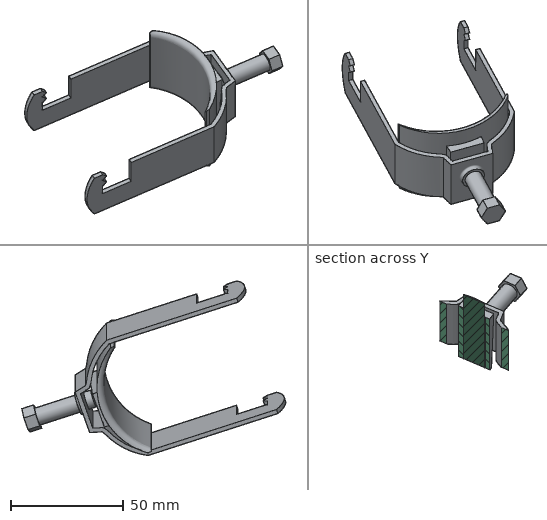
import cadquery as cq
import math


strap_width = 57.0
strap_thickness = 2.0
strap_height = 25.0
strap_bottom_z = -15.0
strap_top_z = strap_bottom_z + strap_height
strap_back_y = 85.9
flat_half_width = 10.0
shoulder_foot_x = 11.5
shoulder_foot_y = 80.5
crown_radius = 31.9
crown_center_y = 50.4
crown_inner_x = 12.7

collar_diameter = 10.5
collar_height = 2.0
collar_fillet = 0.7

notch_start_y = 22.5
notch_end_y = 8.0
notch_depth = 13.2
tooth_height = 2.0
tooth_pitch = 2 * tooth_height
tooth_count = 2
tip_corner_y = 3.7

bolt_diameter = 8.0
bolt_end_y = 80.6
head_top_y = 112.4
head_thickness = 5.5
head_across_flats = 10.0
head_across_corners = head_across_flats / math.cos(math.radians(30))

saddle_height = 40.0
saddle_bottom_z = -19.7
saddle_top_z = saddle_bottom_z + saddle_height
saddle_width = 51.8
saddle_outer_radius = 31.8
saddle_back_y = 77.2
saddle_inner_radius = 32.0
saddle_inner_crest_y = 74.0
saddle_tip_y = 62.2
saddle_edge_round = 2.9

block_height = 31.8
block_back_half_width = 8.0
block_front_half_width = 8.3
block_front_y = 75.3
block_top_y = 80.4
block_bottom_y = 78.4


def circle_y(center_y, radius, x):
    """Y on the +Y half of a circle centred on X = 0."""
    return center_y + math.sqrt(radius**2 - x**2)


def y_cylinder(diameter, start_y, length):
    """Cylinder on the bolt axis, growing toward +Y."""
    return cq.Workplane("XZ", origin=(0, start_y, 0)).circle(diameter / 2).extrude(-length)


def make_strap_band():
    """Bent strip of constant thickness, before the hooks are cut."""
    half_width = strap_width / 2
    mid_x = (crown_inner_x + half_width) / 2
    crown = [
        (x, circle_y(crown_center_y, crown_radius, x))
        for x in (crown_inner_x, mid_x, half_width)
    ]
    start, middle, end = crown
    outline = (
        cq.Workplane("XY", origin=(0, 0, strap_bottom_z))
        .moveTo(-half_width, -strap_thickness)
        .lineTo(-end[0], end[1])
        .threePointArc((-middle[0], middle[1]), (-start[0], start[1]))
        .lineTo(-shoulder_foot_x, shoulder_foot_y)
        .lineTo(-flat_half_width, strap_back_y)
        .lineTo(flat_half_width, strap_back_y)
        .lineTo(shoulder_foot_x, shoulder_foot_y)
        .lineTo(*start)
        .threePointArc(middle, end)
        .lineTo(half_width, -strap_thickness)
        .close()
    )
    outside = outline.extrude(strap_height)
    inside = outline.toPending().offset2D(-strap_thickness).extrude(strap_height)
    return outside.cut(inside)


def make_side_profile():
    """Side shape of the strap: rounded tips and the toothed notch, as a slab across X."""
    profile = (
        cq.Workplane("YZ", origin=(-strap_width / 2, 0, 0))
        .moveTo(tip_corner_y, strap_bottom_z)
        .threePointArc((0, (strap_bottom_z + strap_top_z) / 2), (tip_corner_y, strap_top_z))
        .lineTo(notch_end_y, strap_top_z)
    )
    for tooth in range(tooth_count):
        tooth_top_z = strap_top_z - tooth * tooth_pitch
        profile = profile.lineTo(notch_end_y + tooth_height, tooth_top_z - tooth_pitch / 2)
        profile = profile.lineTo(notch_end_y, tooth_top_z - tooth_pitch)
    return (
        profile.lineTo(notch_end_y, strap_top_z - notch_depth)
        .lineTo(notch_start_y, strap_top_z - notch_depth)
        .lineTo(notch_start_y, strap_top_z)
        .lineTo(strap_back_y, strap_top_z)
        .lineTo(strap_back_y, strap_bottom_z)
        .close()
        .extrude(strap_width)
    )


def make_collar():
    """Collar round the bolt, flaring into the strap with a concave fillet."""
    radius = collar_diameter / 2
    fillet_dip = collar_fillet * (1 - math.sqrt(0.5))
    return (
        cq.Workplane("XY")
        .moveTo(0, strap_back_y)
        .lineTo(radius + collar_fillet, strap_back_y)
        .threePointArc(
            (radius + fillet_dip, strap_back_y + fillet_dip),
            (radius, strap_back_y + collar_fillet),
        )
        .lineTo(radius, strap_back_y + collar_height)
        .lineTo(0, strap_back_y + collar_height)
        .close()
        .revolve(360, (0, 0, 0), (0, 1, 0))
    )


def make_strap():
    hole_start_y = strap_back_y - strap_thickness
    hole = y_cylinder(bolt_diameter, hole_start_y, strap_thickness + collar_height)
    return make_strap_band().intersect(make_side_profile()).union(make_collar()).cut(hole)


def make_bolt():
    head_start_y = head_top_y - head_thickness
    shank = y_cylinder(bolt_diameter, bolt_end_y, head_start_y - bolt_end_y)
    head = (
        cq.Workplane("XZ", origin=(0, head_start_y, 0))
        .polygon(6, head_across_corners)
        .extrude(-head_thickness)
    )
    return shank.union(head)


def saddle_outer_cylinder():
    """Cylinder along Z that carries the saddle's outer face."""
    return (
        cq.Workplane("XY", origin=(0, saddle_back_y - saddle_outer_radius, saddle_bottom_z))
        .circle(saddle_outer_radius)
        .extrude(saddle_height)
    )


def make_saddle_bore():
    """Inner cylinder that flares out at both ends, which rounds the saddle's inner edges."""
    flare_radius = saddle_inner_radius + saddle_edge_round
    arc_inset = saddle_edge_round * (1 - math.sqrt(0.5))
    arc_mid_radius = saddle_inner_radius + arc_inset
    return (
        cq.Workplane("XZ")
        .moveTo(0, saddle_bottom_z)
        .lineTo(flare_radius, saddle_bottom_z)
        .threePointArc(
            (arc_mid_radius, saddle_bottom_z + arc_inset),
            (saddle_inner_radius, saddle_bottom_z + saddle_edge_round),
        )
        .lineTo(saddle_inner_radius, saddle_top_z - saddle_edge_round)
        .threePointArc((arc_mid_radius, saddle_top_z - arc_inset), (flare_radius, saddle_top_z))
        .lineTo(0, saddle_top_z)
        .close()
        .revolve(360, (0, 0, 0), (0, 1, 0))
        .translate((0, saddle_inner_crest_y - saddle_inner_radius, 0))
    )


def make_saddle():
    limits = cq.Workplane("XY", origin=(0, saddle_tip_y, saddle_bottom_z)).box(
        saddle_width,
        saddle_back_y - saddle_tip_y,
        saddle_height,
        centered=(True, False, False),
    )
    outside = saddle_outer_cylinder()
    return outside.intersect(limits).cut(make_saddle_bore())


def make_block():
    """Wedge between bolt and saddle: drafted sides, sloping back, front fitted to the saddle."""
    plan = (
        cq.Workplane("XY", origin=(0, 0, saddle_bottom_z))
        .moveTo(-block_front_half_width, block_front_y)
        .lineTo(-block_back_half_width, block_top_y)
        .lineTo(block_back_half_width, block_top_y)
        .lineTo(block_front_half_width, block_front_y)
        .close()
        .extrude(block_height)
    )
    block_top_z = saddle_bottom_z + block_height
    wedge = (
        cq.Workplane("YZ", origin=(-block_front_half_width, 0, 0))
        .moveTo(block_front_y, saddle_bottom_z)
        .lineTo(block_bottom_y, saddle_bottom_z)
        .lineTo(block_top_y, block_top_z)
        .lineTo(block_front_y, block_top_z)
        .close()
        .extrude(2 * block_front_half_width)
    )
    return plan.intersect(wedge).cut(saddle_outer_cylinder())


strap = make_strap()
bolt = make_bolt()
saddle = make_saddle()
block = make_block()

result = cq.Compound.makeCompound(
    [
        strap.solids().val(),
        bolt.solids().val(),
        saddle.solids().val(),
        block.solids().val(),
    ]
)